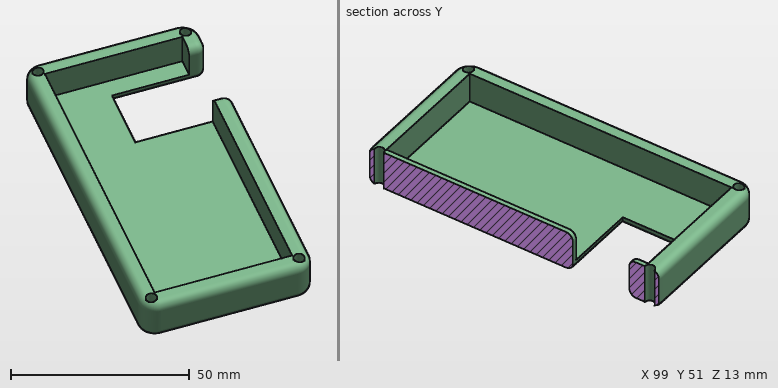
import cadquery as cq

length = 99.0
width = 51.0
height = 13.0
wall = 5.0
floor_thickness = 3.0
corner_radius = 5.0
edge_radius = 2.5

hole_diameter = 3.2
hole_inset = 3.5

slot_offset = 10.5
slot_width = 19.0
slot_depth = 28.0

mouth_margin = 1.0

slot_center_x = -length / 2 + slot_offset + slot_width / 2
slot_center_y = width / 2 - slot_depth / 2


def slotted_block():
    """Solid block with round corners and the slot cut through it."""
    block = (
        cq.Workplane("XY")
        .rect(length, width)
        .extrude(height)
        .edges("|Z")
        .fillet(corner_radius)
    )
    slot = (
        cq.Workplane("XY")
        .center(slot_center_x, slot_center_y)
        .rect(slot_width, slot_depth)
        .extrude(height)
    )
    return block.cut(slot)


def round_outer_edges(block):
    """Round the top and bottom outlines and the two upright edges at the slot mouth."""
    outlines = block.faces("<Z or >Z").edges()
    slot_mouth = block.edges("|Z").edges(
        cq.selectors.BoxSelector(
            (slot_center_x - slot_width / 2 - mouth_margin, width / 2 - mouth_margin, 0),
            (slot_center_x + slot_width / 2 + mouth_margin, width / 2 + mouth_margin, height),
        )
    )
    return outlines.add(slot_mouth).fillet(edge_radius)


def pocket():
    """Interior of the tray, open at the top."""
    return (
        cq.Workplane("XY")
        .workplane(offset=floor_thickness)
        .rect(length - 2 * wall, width - 2 * wall)
        .extrude(height - floor_thickness)
    )


def corner_holes():
    """Four vertical through holes, one in each corner."""
    return (
        cq.Workplane("XY")
        .rect(length - 2 * hole_inset, width - 2 * hole_inset, forConstruction=True)
        .vertices()
        .circle(hole_diameter / 2)
        .extrude(height)
    )


body = round_outer_edges(slotted_block())
result = body.cut(pocket()).cut(corner_holes())